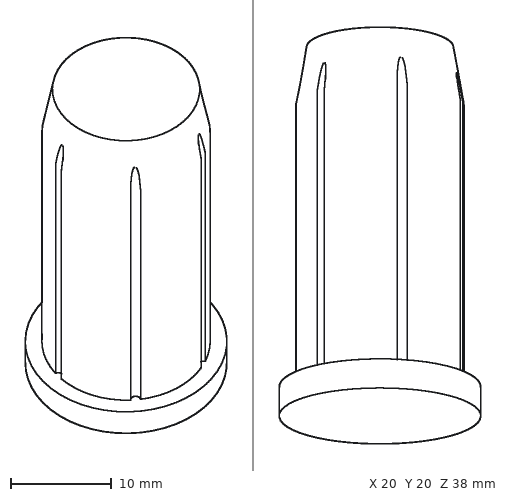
import cadquery as cq

total_height = 38.0
flange_diameter = 20.0
flange_thickness = 3.0
body_diameter = 16.7
tip_diameter = 14.6
taper_height = 5.95

groove_count = 6
groove_radius = 0.5
first_groove_angle = 30.0

body_radius = body_diameter / 2
taper_start = total_height - taper_height


def make_plug():
    """Revolve the flange, the straight body and the tapered tip in one piece."""
    return (
        cq.Workplane("XZ")
        .moveTo(0, 0)
        .lineTo(flange_diameter / 2, 0)
        .lineTo(flange_diameter / 2, flange_thickness)
        .lineTo(body_radius, flange_thickness)
        .lineTo(body_radius, taper_start)
        .lineTo(tip_diameter / 2, total_height)
        .lineTo(0, total_height)
        .close()
        .revolve(360, (0, 0, 0), (0, 1, 0))
    )


def make_groove_cutters():
    """Round bars centred on the body surface, standing on the flange."""
    return (
        cq.Workplane("XY", origin=(0, 0, flange_thickness))
        .polarArray(body_radius, first_groove_angle, 360, groove_count)
        .circle(groove_radius)
        .extrude(total_height - flange_thickness)
    )


result = make_plug().cut(make_groove_cutters())